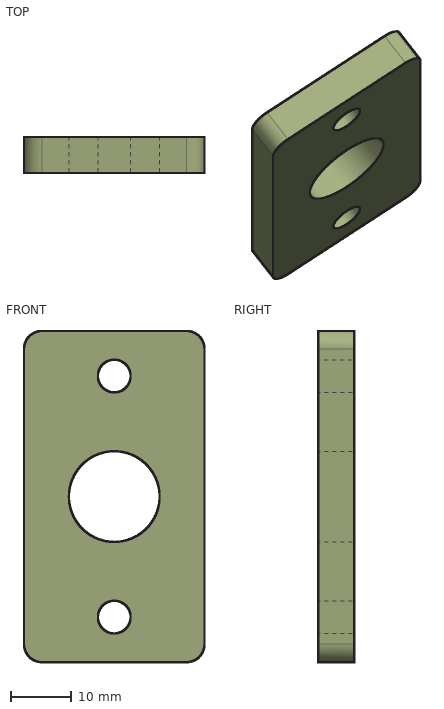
import cadquery as cq

width = 30.0
thickness = 6.0
height = 55.0
corner_radius = 3.0
bore_diameter = 15.0
screw_hole_diameter = 5.4
screw_hole_spacing = 40.0

plate = cq.Workplane("XY").box(width, thickness, height).edges("|Y").fillet(corner_radius)

plate = plate.faces("<Y").workplane(origin=(0, 0, 0)).hole(bore_diameter)

screw_positions = [(0, side * screw_hole_spacing / 2) for side in (-1, 1)]
result = (
    plate.faces("<Y")
    .workplane(origin=(0, 0, 0))
    .pushPoints(screw_positions)
    .hole(screw_hole_diameter)
)